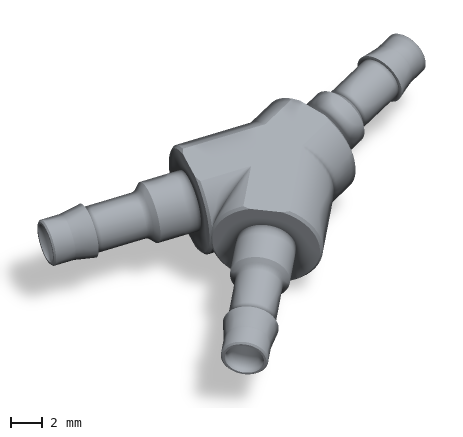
import cadquery as cq
import math

BRANCH_ANGLE = 30.0
STEM_BODY_LENGTH = 3.28
BRANCH_BODY_LENGTH = 6.13

BODY_DIAMETER = 7.15
BODY_THICKNESS = 6.5
BODY_CHAMFER = 0.16

SPIGOT_LENGTH = 9.68
TUBE_DIAMETER = 3.0
BORE_DIAMETER = 2.5
TIP_CHAMFER = 0.1

COLLAR_DIAMETER = 4.0
SLIM_COLLAR_DIAMETER = 3.8
COLLAR_LENGTH = 2.74
CONE_ANGLE = 45.0
NECK_RADIUS = 0.5

BARB_DIAMETER = 3.53
BARB_START = 1.42
BARB_LENGTH = 1.45


def body_branch(length):
    """Body cylinder along +Y with a chamfered end face."""
    radius = BODY_DIAMETER / 2
    profile = (
        cq.Workplane("XY")
        .lineTo(radius, 0)
        .lineTo(radius, length - BODY_CHAMFER)
        .lineTo(radius - BODY_CHAMFER, length)
        .lineTo(0, length)
        .close()
    )
    return profile.revolve(360, (0, 0, 0), (0, 1, 0))


def spigot(base, collar_diameter=COLLAR_DIAMETER, blended=True):
    """Solid collar, tube and barb along +Y, starting from the origin."""
    tube_radius = TUBE_DIAMETER / 2
    collar_radius = collar_diameter / 2
    collar_end = base + COLLAR_LENGTH
    cone_end = collar_end + (collar_radius - tube_radius) / math.tan(math.radians(CONE_ANGLE))
    tip = base + SPIGOT_LENGTH
    barb_small_end = tip - BARB_START
    barb_lip = barb_small_end - BARB_LENGTH
    profile = (
        cq.Workplane("XY")
        .lineTo(collar_radius, 0)
        .lineTo(collar_radius, collar_end)
    )
    if blended:
        neck_end = cone_end + NECK_RADIUS * math.tan(math.radians(CONE_ANGLE / 2))
        neck_start_radius = tube_radius + NECK_RADIUS * (1 - math.cos(math.radians(CONE_ANGLE)))
        neck_start = neck_end - NECK_RADIUS * math.sin(math.radians(CONE_ANGLE))
        profile = profile.lineTo(neck_start_radius, neck_start)
        profile = profile.radiusArc((tube_radius, neck_end), NECK_RADIUS)
    else:
        profile = profile.lineTo(tube_radius, cone_end)
    profile = (
        profile
        .lineTo(tube_radius, barb_lip)
        .lineTo(BARB_DIAMETER / 2, barb_lip)
        .lineTo(tube_radius, barb_small_end)
        .lineTo(tube_radius, tip - TIP_CHAMFER)
        .lineTo(tube_radius - TIP_CHAMFER, tip)
        .lineTo(0, tip)
        .close()
    )
    return profile.revolve(360, (0, 0, 0), (0, 1, 0))


def bore(base):
    """Passage along +Y from the origin out through the tip."""
    return cq.Workplane("XZ").circle(BORE_DIAMETER / 2).extrude(-(base + SPIGOT_LENGTH))


def place_left(branch):
    """Turn a branch from +Y to the lower left."""
    return branch.rotate((0, 0, 0), (0, 0, 1), 180 - BRANCH_ANGLE)


def place_right(branch):
    """Turn a branch from +Y to the lower right."""
    return branch.rotate((0, 0, 0), (0, 0, 1), 180 + BRANCH_ANGLE)


def junction(upper, left, right):
    """Join three branches that all start out along +Y."""
    return upper.union(place_left(left)).union(place_right(right))


flat_span = 2 * (BRANCH_BODY_LENGTH + BODY_DIAMETER)
flats = cq.Workplane("XY").box(flat_span, flat_span, BODY_THICKNESS)
lower_body = body_branch(BRANCH_BODY_LENGTH)
body = junction(body_branch(STEM_BODY_LENGTH), lower_body, lower_body).intersect(flats)

spigots = junction(
    spigot(STEM_BODY_LENGTH, blended=False),
    spigot(BRANCH_BODY_LENGTH),
    spigot(BRANCH_BODY_LENGTH, SLIM_COLLAR_DIAMETER),
)

lower_bore = bore(BRANCH_BODY_LENGTH)
bores = junction(bore(STEM_BODY_LENGTH), lower_bore, lower_bore)

result = body.union(spigots).cut(bores)